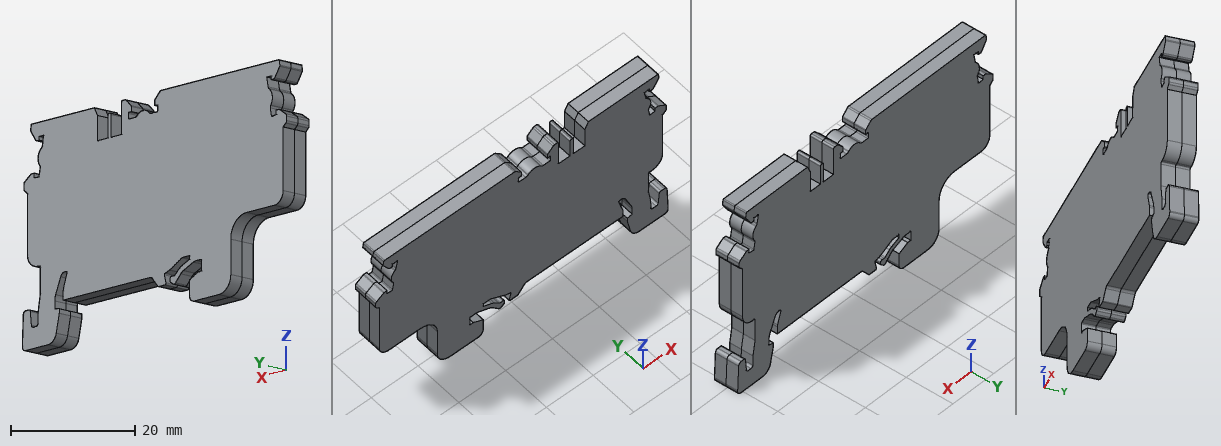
import cadquery as cq
import math


LENGTH = 62.5
THICKNESS = 5.0
HALF_THICKNESS = THICKNESS / 2

TOP_Z = 37.4
MIDDLE_X = 31.05
WALL_INSET = 0.8
LEFT_WALL_X = WALL_INSET
RIGHT_WALL_X = 2 * MIDDLE_X - WALL_INSET
SHOULDER_Z = 13.4
BELLY_Z = 6.75

GROOVE_X = 33.95
GROOVE_FLOOR_Z = 34.0
GROOVE_LIP_Z = 35.1
GROOVE_LIP_TOP_Z = 36.05
GROOVE_HALF_MOUTH = 2.75
GROOVE_HALF_WIDTH = 3.45
LIP_SLOPE = 1.4
HUMP_HALF_BASE = 1.6
HUMP_PEAK = 1.6
HUMP_RADIUS = 1.95

SLOT_FLOOR_Z = 31.75
SLOT_LEFT_X = 39.05
SLOT_RIGHT_X = 44.7
FIN_X = (SLOT_LEFT_X + SLOT_RIGHT_X) / 2
FIN_WIDTH = 0.75
FIN_TOP_Z = 35.8
SLOT_BEVEL_RUN = 0.75
SLOT_BEVEL_DROP = 1.45

LEFT_FOOT_X = 13.2
LEFT_FOOT_Z = 0.95
LEFT_FOOT_TIP_X = 23.0
RAIL_NOTCH_X = 20.1
RAIL_NOTCH_TOP_Z = 7.55
RAIL_NOTCH_FLOOR_Z = 5.6

RIGHT_LEG_X = 58.25
RELIEF_X = 52.8
HEEL_X = 53.75
RELEASE_SLOT_Z = 3.55


def grip():
    """Left end grip, from the wall up to the top edge."""
    return [
        (LEFT_WALL_X, 26.0, 0),
        (0.0, 26.7, 0.5),
        (0.0, 27.95, 0.5),
        (1.75, 29.1, 0.2),
        (2.45, 29.1, 0),
        (2.45, 28.4, 0),
        (3.55, 28.25, 0.1),
        (3.9, 29.95, 0.5),
        (2.6, 31.7, 2.05),
        (4.3, 33.1, 0.5),
        (4.7, 35.0, 0),
        (3.6, 35.0, 0),
        (3.6, 34.4, 0),
        (2.9, 34.4, 0.4),
        (1.55, 36.3, 0.25),
        (1.75, TOP_Z, 0.2),
    ]


def mirrored(corners, axis_x):
    """Corners mirrored in X, in reverse so that the outline keeps its direction."""
    return [(2 * axis_x - x, z, radius) for x, z, radius in reversed(corners)]


def marker_groove():
    """Undercut groove with a rounded hump on its floor."""
    mouth_x = GROOVE_X - GROOVE_HALF_MOUTH
    wall_x = GROOVE_X - GROOVE_HALF_WIDTH
    left_half = [
        (mouth_x - LIP_SLOPE, TOP_Z, 0.45),
        (mouth_x, GROOVE_LIP_TOP_Z, 0.2),
        (mouth_x, GROOVE_LIP_Z, 0),
        (wall_x, GROOVE_LIP_Z, 0.2),
        (wall_x, GROOVE_FLOOR_Z, 0.2),
        (GROOVE_X - HUMP_HALF_BASE, GROOVE_FLOOR_Z, 0.6),
    ]
    hump_top = [(GROOVE_X, GROOVE_FLOOR_Z + HUMP_PEAK, HUMP_RADIUS)]
    return left_half + hump_top + mirrored(left_half, GROOVE_X)


def bridge_slots():
    """Two slots side by side with a thin fin between them."""
    fin_left_x = FIN_X - FIN_WIDTH / 2
    fin_right_x = FIN_X + FIN_WIDTH / 2
    return [
        (SLOT_LEFT_X, TOP_Z, 0.3),
        (SLOT_LEFT_X, SLOT_FLOOR_Z, 0),
        (fin_left_x, SLOT_FLOOR_Z, 0),
        (fin_left_x, FIN_TOP_Z, 0.3),
        (fin_right_x, FIN_TOP_Z, 0.3),
        (fin_right_x, SLOT_FLOOR_Z, 0),
        (SLOT_RIGHT_X, SLOT_FLOOR_Z, 0),
        (SLOT_RIGHT_X, TOP_Z - SLOT_BEVEL_DROP, 0),
        (SLOT_RIGHT_X + SLOT_BEVEL_RUN, TOP_Z, 0),
    ]


def right_foot():
    """Springy leg with a release slot, ending at the relief slot beside the belly."""
    return [
        (RIGHT_WALL_X, SHOULDER_Z + 0.1, 2.4),
        (RIGHT_LEG_X, SHOULDER_Z + 0.1, 0.3),
        (RIGHT_LEG_X, 8.9, 0),
        (58.75, 5.95, 0),
        (58.8, RELEASE_SLOT_Z, 0.45),
        (60.3, RELEASE_SLOT_Z, 0.45),
        (60.6, 6.6, 0.4),
        (62.25, 6.6, 0.6),
        (LENGTH, 0.95, 0),
        (LENGTH, 0.0, 0.75),
        (54.8, 0.0, 2.0),
        (HEEL_X, 4.75, 0),
        (HEEL_X, 5.5, 0),
        (54.8, 5.7, 0),
        (54.8, 7.5, 2.5),
        (53.1, 11.4, 1.1),
        (51.8, 11.45, 0.3),
        (RELIEF_X, 8.5, 1.25),
        (RELIEF_X, BELLY_Z, 0),
    ]


def spring_tongue():
    """Small nose under the belly, the slot above the tongue and the tongue with its round tip."""
    return [
        (32.0, BELLY_Z, 0.75),
        (30.4, 4.9, 0.2),
        (28.45, 4.9, 0.25),
        (28.95, 6.75, 0.2),
        (27.6, 7.1, 0.3),
        (24.6, 8.7, 0.5),
        (23.0, 8.7, 0),
        (23.0, 8.05, 0),
        (25.1, 7.2, 1.9),
        (26.5, 6.0, 0.4),
        (27.55, 6.05, 0.4),
        (27.55, 5.2, 0.45),
        (26.55, 4.45, 0.5),
        (24.75, 6.3, 1.9),
        (21.7, 7.55, 1.9),
    ]


def left_foot():
    """Hooked foot that holds the edge of the rail."""
    return [
        (RAIL_NOTCH_X, RAIL_NOTCH_TOP_Z, 0.1),
        (RAIL_NOTCH_X, RAIL_NOTCH_FLOOR_Z, 0),
        (20.9, RAIL_NOTCH_FLOOR_Z, 0),
        (LEFT_FOOT_TIP_X, 4.6, 0),
        (LEFT_FOOT_TIP_X, LEFT_FOOT_Z, 1.1),
        (LEFT_FOOT_X, LEFT_FOOT_Z, 2.8),
        (LEFT_FOOT_X, SHOULDER_Z, 3.75),
        (LEFT_WALL_X, SHOULDER_Z, 2.05),
    ]


def plate_outline():
    """All corners of the plate, clockwise from the left wall."""
    return (
        grip()
        + marker_groove()
        + bridge_slots()
        + mirrored(grip(), MIDDLE_X)
        + right_foot()
        + spring_tongue()
        + left_foot()
    )


def rounded_corner(before, corner, after):
    """Start, middle and end of the arc that rounds one corner."""
    x, z, radius = corner
    point = cq.Vector(x, z)
    back = (cq.Vector(*before[:2]) - point).normalized()
    ahead = (cq.Vector(*after[:2]) - point).normalized()
    half_angle = back.getAngle(ahead) / 2
    setback = radius / math.tan(half_angle)
    bisector = (back + ahead).normalized()
    to_arc_middle = radius / math.sin(half_angle) - radius
    return point + back * setback, point + bisector * to_arc_middle, point + ahead * setback


def half_plate(front_y):
    """One half of the block, extruded from its front face toward +Y."""
    corners = plate_outline()
    first_x, first_z, _ = corners[0]
    sketch = cq.Workplane("XZ", origin=(0, front_y, 0)).moveTo(first_x, first_z)
    for before, corner, after in zip(corners, corners[1:], corners[2:] + corners[:1]):
        x, z, radius = corner
        if radius == 0:
            sketch = sketch.lineTo(x, z)
        else:
            start, middle, end = rounded_corner(before, corner, after)
            sketch = sketch.lineTo(start.x, start.y)
            sketch = sketch.threePointArc((middle.x, middle.y), (end.x, end.y))
    return sketch.close().extrude(-HALF_THICKNESS)


halves = [half_plate(front_y) for front_y in (-HALF_THICKNESS, 0)]

result = cq.Compound.makeCompound([half.val() for half in halves])